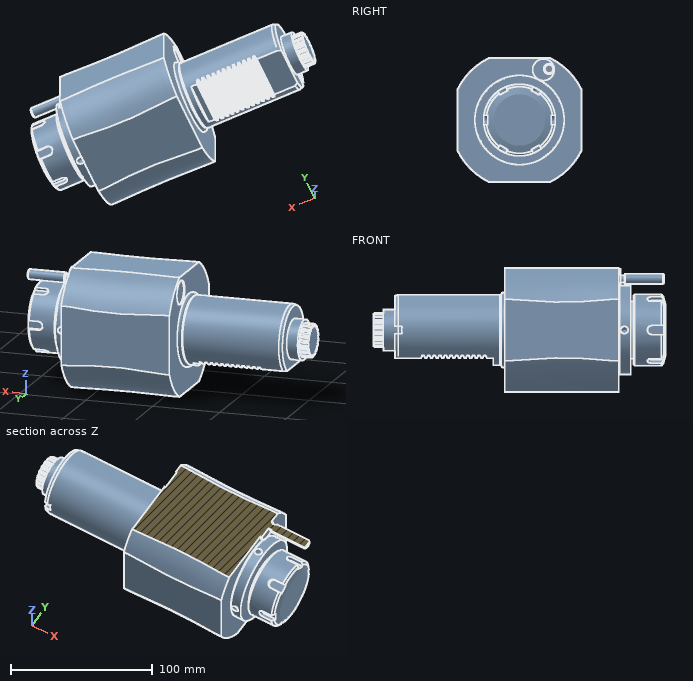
import cadquery as cq

TOTAL_LENGTH = 207.0
CUT_MARGIN = 2.0

SPLINE_TEETH = 18
SPLINE_ROOT_RADIUS = 10.5
SPLINE_TIP_RADIUS = 12.2
SPLINE_ROOT_WIDTH = 2.5
SPLINE_TIP_WIDTH = 1.2
SPLINE_END_CHAMFER = 0.8
SPLINE_END_X = 7.0
COLLAR_RADIUS = 14.7
COLLAR_SEAT_X = 17.5

SHANK_START_X = 15.1
SHANK_END_X = 89.5
SHANK_RADIUS = 25.0
SHANK_CHAMFER_LENGTH = 2.5
SHANK_CHAMFER_DROP = 0.8
FLAT_HEIGHT = 20.0
FLAT_END_X = 85.0
NOTCH_COUNT = 12
FIRST_NOTCH_X = 35.2
LAST_NOTCH_X = 79.0
NOTCH_DEPTH = 1.9
NOTCH_MOUTH = 3.0
NOTCH_FLOOR = 1.2

KEY_SLOT_WIDTH = 5.4
KEY_SLOT_DEPTH = 5.0
KEY_SLOT_INNER_OFFSET = 13.3
KEY_HOLE_RADIUS = 2.0
KEY_HOLE_OFFSET = 15.3
KEY_HOLE_DEPTH = 2.0

RELIEF_RADIUS = 24.2
RING_START_X = 90.5
RING_CREST_X = 92.0
RING_RADIUS = 26.7

BODY_START_X = 93.0
BODY_END_X = 174.0
BODY_SIDE = 88.0
BODY_CORNER_RADIUS = 49.0
BODY_WAIST_RADIUS = 48.3
FRONT_LAND = 4.0
REAR_LAND = 5.2
RECESS_Y = 18.6
RECESS_Z = 32.0
RECESS_RADIUS = 8.7
RECESS_DEPTH = 0.8

FLANGE_END_X = 182.5
FLANGE_RADIUS = 31.7
FLANGE_CHAMFER = 0.6
FLANGE_HOLE_COUNT = 4
FLANGE_HOLE_X = 178.0
FLANGE_HOLE_RADIUS = 2.7
NECK_RADIUS = 20.5

NUT_START_X = 184.3
NUT_RADIUS = 25.5
NUT_BACK_CHAMFER = 1.0
NUT_RIM_X = 204.2
NUT_SHOULDER_X = 205.7
NUT_SHOULDER_RADIUS = 23.6
NUT_FACE_RADIUS = 18.2
NUT_SLOT_COUNT = 6
NUT_SLOT_START_X = 194.3
NUT_SLOT_WIDTH = 6.5
NUT_SLOT_FLOOR = 22.4

DISC_Y = 17.0
DISC_Z = 35.6
DISC_RADIUS = 7.7
DISC_THICKNESS = 1.2
PIN_Y = 21.0
PIN_Z = 36.2
PIN_RADIUS = 3.7
PIN_NECK_RADIUS = 2.7
PIN_NECK_END_X = 177.7
PIN_END_X = 206.0
PIN_CHAMFER = 0.8


def cylinder_x(radius, start, end, y=0.0, z=0.0):
    """Cylinder along X between two stations."""
    disc = cq.Workplane("YZ", origin=(start, y, z)).circle(radius)
    return disc.extrude(end - start)


def box_between(x_range, y_range, z_range):
    """Box given by its limits along each axis."""
    size = [high - low for low, high in (x_range, y_range, z_range)]
    corner = (x_range[0], y_range[0], z_range[0])
    return cq.Workplane("XY").box(*size, centered=False).translate(corner)


def revolve_x(profile):
    """Turn a closed profile of (station, radius) around the X axis."""
    return profile.close().revolve(360, (0, 0, 0), (1, 0, 0))


def around_axis(feature, count):
    """Copies of a feature spaced evenly around the X axis."""
    copies = cq.Workplane("XY")
    for index in range(count):
        copies = copies.add(feature.rotate((0, 0, 0), (1, 0, 0), index * 360 / count))
    return copies.vals()


def make_spline():
    core = cylinder_x(SPLINE_ROOT_RADIUS, 0, SPLINE_END_X)
    tooth_base = SPLINE_ROOT_RADIUS - SPLINE_END_CHAMFER
    tooth = (
        cq.Workplane("YZ")
        .polyline([
            (-SPLINE_ROOT_WIDTH / 2, tooth_base),
            (SPLINE_ROOT_WIDTH / 2, tooth_base),
            (SPLINE_TIP_WIDTH / 2, SPLINE_TIP_RADIUS),
            (-SPLINE_TIP_WIDTH / 2, SPLINE_TIP_RADIUS),
        ])
        .close()
        .extrude(SPLINE_END_X)
    )
    for copy in around_axis(tooth, SPLINE_TEETH):
        core = core.union(cq.Workplane(copy))
    envelope = cylinder_x(SPLINE_TIP_RADIUS, 0, SPLINE_END_X).faces("<X").chamfer(SPLINE_END_CHAMFER)
    return core.intersect(envelope)


def make_shank():
    collar = cylinder_x(COLLAR_RADIUS, SPLINE_END_X, SHANK_START_X)
    turned = revolve_x(
        cq.Workplane("XY")
        .moveTo(SHANK_START_X, 0)
        .lineTo(SHANK_START_X, SHANK_RADIUS - SHANK_CHAMFER_DROP)
        .lineTo(SHANK_START_X + SHANK_CHAMFER_LENGTH, SHANK_RADIUS)
        .lineTo(SHANK_END_X, SHANK_RADIUS)
        .lineTo(RING_START_X, RELIEF_RADIUS)
        .threePointArc((RING_CREST_X, RING_RADIUS), (BODY_START_X, RING_RADIUS))
        .lineTo(BODY_START_X, 0)
    )
    below_flat = box_between(
        (SHANK_START_X, FLAT_END_X),
        (-SHANK_RADIUS, SHANK_RADIUS),
        (-SHANK_RADIUS - CUT_MARGIN, -FLAT_HEIGHT),
    )
    return turned.cut(below_flat).union(collar)


def cut_rack(body):
    pitch = (LAST_NOTCH_X - FIRST_NOTCH_X) / (NOTCH_COUNT - 1)
    notch = (
        cq.Workplane("XZ", origin=(FIRST_NOTCH_X, 0, -FLAT_HEIGHT))
        .polyline([
            (-NOTCH_MOUTH / 2, 0),
            (-NOTCH_FLOOR / 2, NOTCH_DEPTH),
            (NOTCH_FLOOR / 2, NOTCH_DEPTH),
            (NOTCH_MOUTH / 2, 0),
        ])
        .close()
        .extrude(SHANK_RADIUS, both=True)
    )
    for index in range(NOTCH_COUNT):
        body = body.cut(notch.translate((index * pitch, 0, 0)))
    return body


def cut_key_slot(body):
    floor_x = SHANK_START_X + KEY_SLOT_DEPTH
    slot = box_between(
        (SHANK_START_X, floor_x),
        (-SHANK_RADIUS - CUT_MARGIN, -KEY_SLOT_INNER_OFFSET),
        (-KEY_SLOT_WIDTH / 2, KEY_SLOT_WIDTH / 2),
    )
    slot = slot.cut(cylinder_x(COLLAR_RADIUS, SHANK_START_X, COLLAR_SEAT_X))
    hole = cylinder_x(KEY_HOLE_RADIUS, floor_x, floor_x + KEY_HOLE_DEPTH, y=-KEY_HOLE_OFFSET)
    return body.cut(slot).cut(hole)


def make_body():
    length = BODY_END_X - BODY_START_X
    block = cq.Workplane("YZ", origin=(BODY_START_X, 0, 0)).rect(BODY_SIDE, BODY_SIDE).extrude(length)
    waist_x = (BODY_START_X + FRONT_LAND + BODY_END_X - REAR_LAND) / 2
    turned = revolve_x(
        cq.Workplane("XY")
        .moveTo(BODY_START_X, 0)
        .lineTo(BODY_START_X, BODY_CORNER_RADIUS)
        .lineTo(BODY_START_X + FRONT_LAND, BODY_CORNER_RADIUS)
        .threePointArc((waist_x, BODY_WAIST_RADIUS), (BODY_END_X - REAR_LAND, BODY_CORNER_RADIUS))
        .lineTo(BODY_END_X, BODY_CORNER_RADIUS)
        .lineTo(BODY_END_X, 0)
    )
    recess = cylinder_x(RECESS_RADIUS, BODY_START_X, BODY_START_X + RECESS_DEPTH, RECESS_Y, RECESS_Z)
    return block.intersect(turned).cut(recess)


def make_flange():
    flange = cylinder_x(FLANGE_RADIUS, BODY_END_X, FLANGE_END_X).faces("<X").chamfer(FLANGE_CHAMFER)
    cone_base = FLANGE_HOLE_RADIUS + CUT_MARGIN
    dimple = cq.Workplane(cq.Solid.makeCone(
        0,
        cone_base,
        cone_base,
        pnt=cq.Vector(FLANGE_HOLE_X, 0, FLANGE_RADIUS - FLANGE_HOLE_RADIUS),
        dir=cq.Vector(0, 0, 1),
    ))
    for copy in around_axis(dimple, FLANGE_HOLE_COUNT):
        flange = flange.cut(cq.Workplane(copy))
    return flange.union(cylinder_x(NECK_RADIUS, FLANGE_END_X, NUT_START_X))


def make_nut():
    nut = revolve_x(
        cq.Workplane("XY")
        .moveTo(NUT_START_X, 0)
        .lineTo(NUT_START_X, NUT_RADIUS - NUT_BACK_CHAMFER)
        .lineTo(NUT_START_X + NUT_BACK_CHAMFER, NUT_RADIUS)
        .lineTo(NUT_RIM_X, NUT_RADIUS)
        .lineTo(NUT_SHOULDER_X, NUT_SHOULDER_RADIUS)
        .lineTo(TOTAL_LENGTH, NUT_FACE_RADIUS)
        .lineTo(TOTAL_LENGTH, 0)
    )
    half_width = NUT_SLOT_WIDTH / 2
    slot_depth = NUT_RADIUS + CUT_MARGIN - NUT_SLOT_FLOOR
    slot_open_x = TOTAL_LENGTH + CUT_MARGIN
    slot = (
        cq.Workplane("XZ", origin=(0, -NUT_SLOT_FLOOR, 0))
        .moveTo(slot_open_x, -half_width)
        .lineTo(NUT_SLOT_START_X + half_width, -half_width)
        .threePointArc((NUT_SLOT_START_X, 0), (NUT_SLOT_START_X + half_width, half_width))
        .lineTo(slot_open_x, half_width)
        .close()
        .extrude(slot_depth)
    )
    for copy in around_axis(slot, NUT_SLOT_COUNT):
        nut = nut.cut(cq.Workplane(copy))
    return nut


def make_stop_pin():
    disc_end_x = BODY_END_X + DISC_THICKNESS
    disc = cylinder_x(DISC_RADIUS, BODY_END_X, disc_end_x, DISC_Y, DISC_Z)
    neck = cylinder_x(PIN_NECK_RADIUS, disc_end_x, PIN_NECK_END_X, PIN_Y, PIN_Z)
    pin = cylinder_x(PIN_RADIUS, PIN_NECK_END_X, PIN_END_X, PIN_Y, PIN_Z)
    return disc.union(neck).union(pin.faces("<X or >X").chamfer(PIN_CHAMFER))


shank = cut_key_slot(cut_rack(make_shank()))
result = (
    make_body()
    .union(shank)
    .union(make_spline())
    .union(make_flange())
    .union(make_nut())
    .union(make_stop_pin())
)